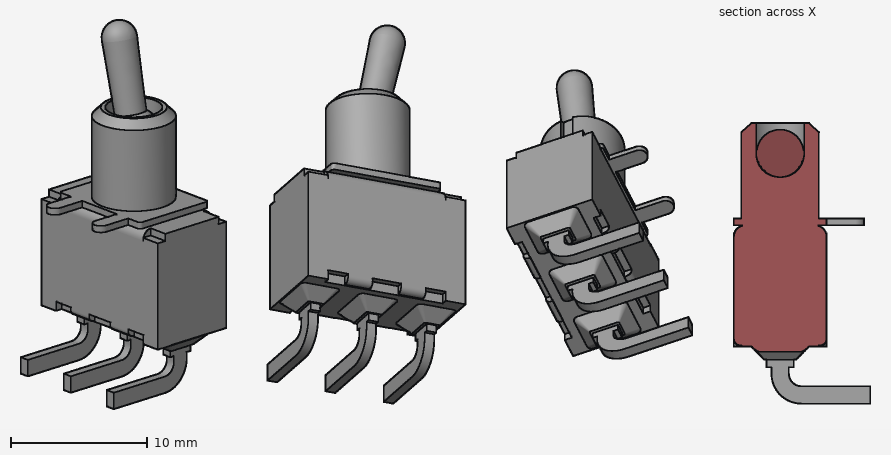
import cadquery as cq
import math


case_length = 12.7
case_depth = 6.82
case_height = 8.9
strap_width = 9.48
strap_round = 0.8
step_depth = 0.75
step_height = 0.57
recess_height = 0.73
recess_depth = 0.57
tuck_width = 2.0
tuck_offset = 2.142
tuck_bottom = 0.08
tuck_round = 0.45

plate_length = 8.8
plate_thickness = 0.5
plate_corner = 0.27
tab_width = 1.25
tab_pitch = 5.0
tab_tip_y = -6.17

bushing_diameter = 6.2
bushing_height = 7.0
bushing_chamfer = 0.67
bore_diameter = 4.2
key_slot_width = 0.97
key_slot_depth = 0.65

terminal_pitch = 4.7
terminal_width = 0.78
mound_height = 0.97
mound_top_length, mound_top_depth = 3.13, 4.25
mound_tip_length, mound_tip_depth = 1.25, 2.35
mound_top_corner = 0.38
mound_tip_corner = 0.1
collar_depth = 2.02
collar_height = 0.57
pin_thickness = 1.3
bend_inner_radius = 0.92
terminal_bottom_z = -4.2
overall_depth = 10.02
terminal_end_y = case_depth / 2 - overall_depth

ball_radius = bore_diameter / 2
ball_below_rim = 2.2
lever_tilt = 12.3
neck_radius = 1.19
tip_radius = 1.32
tip_distance = 7.38

plate_top = case_height + plate_thickness
rim_z = plate_top + bushing_height
ball_z = rim_z - ball_below_rim


def box(x_size, y_size, z_low, z_high, x=0, y=0):
    """Block centred on (x, y) that reaches from z_low to z_high."""
    return cq.Workplane("XY", origin=(x, y, z_low)).box(
        x_size, y_size, z_high - z_low, centered=(True, True, False)
    )


def make_case():
    inner_depth = case_depth - 2 * recess_depth
    end_length = (case_length - strap_width) / 2
    end_x = (case_length - end_length) / 2

    case = box(strap_width, case_depth, recess_height, case_height)
    case = case.edges("|X and >Z").fillet(strap_round)

    case = case.union(box(strap_width, inner_depth, 0, recess_height))

    for x in (-tuck_offset, tuck_offset):
        tuck = box(tuck_width, case_depth, tuck_bottom, recess_height, x)
        case = case.union(tuck.edges("|X and <Z").fillet(tuck_round))

    for x in (-end_x, end_x):
        case = case.union(box(end_length, case_depth, 0, case_height - step_height, x))
        case = case.union(box(end_length, case_depth - 2 * step_depth, 0, case_height, x))
    return case


def make_plate():
    plate = box(plate_length, case_depth, case_height, plate_top)
    plate = plate.edges("|Z").fillet(plate_corner)
    tip_center_y = tab_tip_y + tab_width / 2
    for x in (-tab_pitch / 2, tab_pitch / 2):
        tab = box(tab_width, -tip_center_y, case_height, plate_top, x, tip_center_y / 2)
        tip = cq.Workplane("XY", origin=(x, tip_center_y, case_height))
        tip = tip.circle(tab_width / 2).extrude(plate_thickness)
        plate = plate.union(tab).union(tip)
    return plate


def make_bushing():
    radius = bushing_diameter / 2
    bushing = cq.Workplane("XY", origin=(0, 0, plate_top)).circle(radius).extrude(bushing_height)
    bushing = bushing.faces(">Z").chamfer(bushing_chamfer)
    key_slot = box(2 * key_slot_depth, key_slot_width, plate_top, rim_z, -radius)
    return bushing.cut(key_slot)


def make_mound(x):
    """Tapered sealing mound around the root of a terminal."""
    top = cq.Sketch().rect(mound_top_length, mound_top_depth).vertices().fillet(mound_top_corner)
    tip = cq.Sketch().rect(mound_tip_length, mound_tip_depth).vertices().fillet(mound_tip_corner)
    return (
        cq.Workplane("XY", origin=(x, 0, 0))
        .placeSketch(top, tip.moved(cq.Location(cq.Vector(0, 0, -mound_height))))
        .loft()
    )


def make_terminal(x):
    """Collar and flat pin, bent from vertical toward -Y."""
    collar_bottom = -mound_height - collar_height
    collar = box(terminal_width, collar_depth, collar_bottom, -mound_height, x)

    half = pin_thickness / 2
    outer_radius = bend_inner_radius + pin_thickness
    bend_y = -half - bend_inner_radius
    bend_z = terminal_bottom_z + outer_radius
    diagonal = math.sqrt(0.5)

    def mid_bend(radius):
        return (bend_y + radius * diagonal, bend_z - radius * diagonal)

    pin = (
        cq.Workplane("YZ", origin=(x - terminal_width / 2, 0, 0))
        .moveTo(half, collar_bottom)
        .lineTo(half, bend_z)
        .threePointArc(mid_bend(outer_radius), (bend_y, terminal_bottom_z))
        .lineTo(terminal_end_y, terminal_bottom_z)
        .lineTo(terminal_end_y, terminal_bottom_z + pin_thickness)
        .lineTo(bend_y, terminal_bottom_z + pin_thickness)
        .threePointArc(mid_bend(bend_inner_radius), (-half, bend_z))
        .lineTo(-half, collar_bottom)
        .close()
        .extrude(terminal_width)
    )
    return collar.union(pin)


def make_socket():
    """Space for the lever's ball: the bore, ending in a hemispherical seat."""
    bore = cq.Workplane("XY", origin=(0, 0, ball_z)).circle(ball_radius).extrude(ball_below_rim)
    return bore.union(cq.Workplane("XY", origin=(0, 0, ball_z)).sphere(ball_radius))


def make_housing():
    housing = make_case().union(make_plate()).union(make_bushing())
    for x in (-terminal_pitch, 0, terminal_pitch):
        housing = housing.union(make_mound(x)).union(make_terminal(x))
    return housing.cut(make_socket()).solids()


def make_lever():
    """Ball, tapered stem and rounded tip, turned upright and then tilted about the ball centre."""
    neck_height = math.sqrt(ball_radius**2 - neck_radius**2)
    tip_diagonal = tip_radius * math.sqrt(0.5)
    lever = (
        cq.Workplane("XZ")
        .moveTo(0, -ball_radius)
        .threePointArc((ball_radius, 0), (neck_radius, neck_height))
        .lineTo(tip_radius, tip_distance)
        .threePointArc((tip_diagonal, tip_distance + tip_diagonal), (0, tip_distance + tip_radius))
        .close()
        .revolve(360, (0, 0), (0, 1))
    )
    return lever.rotate((0, 0, 0), (0, 1, 0), -lever_tilt).translate((0, 0, ball_z))


housing = make_housing()
lever = make_lever()
result = cq.Compound.makeCompound([housing.val(), lever.val()])